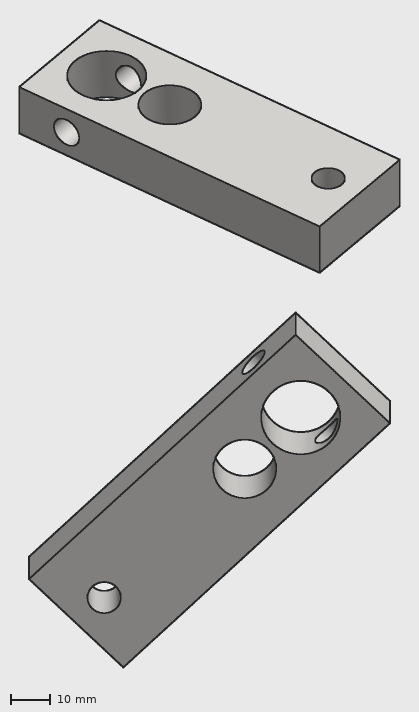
import cadquery as cq

length = 95.0
width = 34.0
height = 15.0

large_diameter = 20.0
medium_diameter = 16.0
small_diameter = 8.5
large_x = 15.0
medium_x = 35.0
small_x = 85.0

cross_diameter = 8.0


def vertical_hole(x, diameter):
    """Cutter for a hole through the full height of the block."""
    return cq.Workplane("XY").center(x, 0).circle(diameter / 2).extrude(height)


def cross_hole(x, diameter):
    """Cutter for a hole through the full width of the block."""
    return cq.Workplane("XZ").center(x, height / 2).circle(diameter / 2).extrude(width / 2, both=True)


result = cq.Workplane("XY").box(length, width, height, centered=(False, True, False))

for hole_x, hole_diameter in (
    (large_x, large_diameter),
    (medium_x, medium_diameter),
    (small_x, small_diameter),
):
    result = result.cut(vertical_hole(hole_x, hole_diameter))

result = result.cut(cross_hole(large_x, cross_diameter))